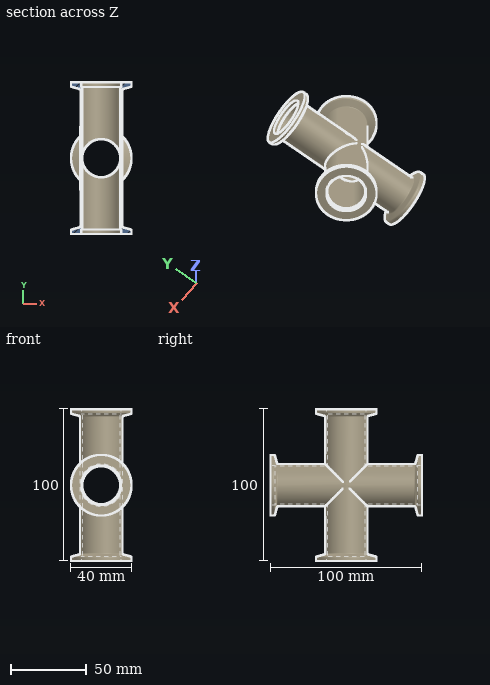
import cadquery as cq
import math

overall_length = 100.0
arm_length = overall_length / 2
tube_radius = 28.0 / 2
bore_radius = 25.0 / 2

flange_radius = 40.0 / 2
rim_thickness = 3.0
taper_angle = math.radians(15.0)
rim_fillet = 1.0
neck_fillet = 0.6

recess_radius = 26.2 / 2
recess_depth = 3.0

rim_back = arm_length - rim_thickness
taper_end = rim_back - (flange_radius - tube_radius) * math.tan(taper_angle)


def both_axes(solid):
    """Join a body lying along Z with its copy turned to lie along Y."""
    return solid.union(solid.rotate((0, 0, 0), (1, 0, 0), 90))


def cylinder_between(radius, bottom, top):
    return cq.Workplane("XY").workplane(offset=bottom).circle(radius).extrude(top - bottom)


def circle_at(height):
    """Selector for the circular edge centred on the Z axis at the given height."""
    reach = 0.1
    return cq.selectors.BoxSelector(
        (-reach, -reach, height - reach),
        (reach, reach, height + reach),
    )


def flanged_arm():
    """Solid arm along +Z with a tapered flange back blended at both ends."""
    arm = (
        cq.Workplane("XZ")
        .lineTo(tube_radius, 0)
        .lineTo(tube_radius, taper_end)
        .lineTo(flange_radius, rim_back)
        .lineTo(flange_radius, arm_length)
        .lineTo(0, arm_length)
        .close()
        .revolve(360, (0, 0, 0), (0, 1, 0))
    )
    arm = arm.edges(circle_at(rim_back)).fillet(rim_fillet)
    return arm.edges(circle_at(taper_end)).fillet(neck_fillet)


def flanged_tube():
    """Solid tube along Z with a flange at each end."""
    arm = flanged_arm()
    return arm.union(arm.mirror("XY"))


def stepped_bore():
    """Through bore along Z with a counterbore at each end."""
    bore = cylinder_between(bore_radius, -arm_length, arm_length)
    recess = cylinder_between(recess_radius, arm_length - recess_depth, arm_length)
    return bore.union(recess).union(recess.mirror("XY"))


result = both_axes(flanged_tube()).cut(both_axes(stepped_bore()))